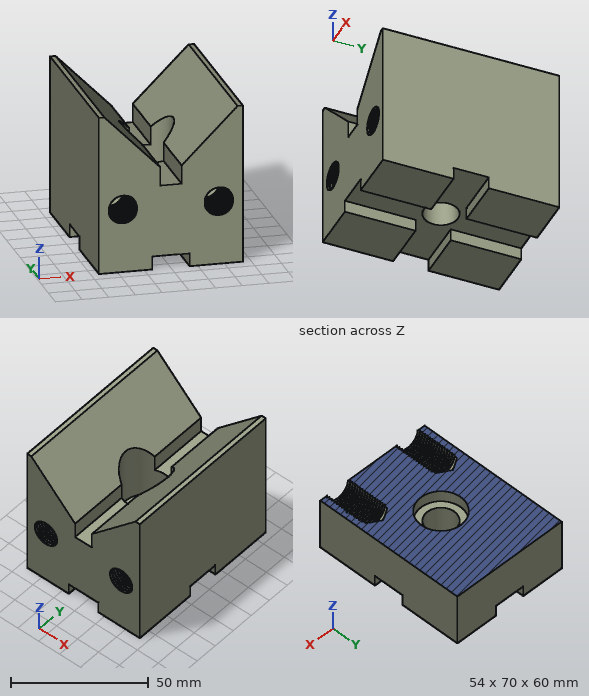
import cadquery as cq
import math

width = 54.0
length = 70.0
height = 60.0

rim_width = 2.0
relief_width = 8.0
relief_floor = 32.0
vee_depth = width / 2 - rim_width - relief_width / 2

keyway_width = 14.0
keyway_depth = 5.0

bore_diameter = 13.5
counterbore_diameter = 20.0
counterbore_depth = 13.0

hole_spacing = 36.0
hole_height = 24.0
minor_diameter = 10.65
major_diameter = 12.0
drill_depth = 20.0
drill_tip_angle = 118.0
thread_pitch = 1.25
groove_mouth = thread_pitch * 3 / 4
groove_root = thread_pitch / 8
thread_start = 0.15
thread_count = math.floor((drill_depth - thread_start) / thread_pitch)


def block():
    """V-grooved profile extruded along Y, centred on the origin in X and Y."""
    half_width = width / 2
    half_relief = relief_width / 2
    vee_root = height - vee_depth
    return (
        cq.Workplane("XZ")
        .moveTo(-half_width, 0)
        .lineTo(half_width, 0)
        .lineTo(half_width, height)
        .lineTo(half_width - rim_width, height)
        .lineTo(half_relief, vee_root)
        .lineTo(half_relief, relief_floor)
        .lineTo(-half_relief, relief_floor)
        .lineTo(-half_relief, vee_root)
        .lineTo(-half_width + rim_width, height)
        .lineTo(-half_width, height)
        .close()
        .extrude(length / 2, both=True)
    )


def keyway(size_x, size_y):
    """Cutter for a keyway rising from the base."""
    return cq.Workplane("XY").rect(size_x, size_y).extrude(keyway_depth)


def counterbored_hole():
    """Cutter for the through bore and the counterbore that opens into the V-groove."""
    bore = cq.Workplane("XY").circle(bore_diameter / 2).extrude(height)
    seat = relief_floor - counterbore_depth
    counterbore = (
        cq.Workplane("XY")
        .workplane(offset=seat)
        .circle(counterbore_diameter / 2)
        .extrude(height - seat)
    )
    return bore.union(counterbore)


def threaded_hole(x):
    """Revolved cutter for a drilled hole with thread grooves, running inward from the front face."""
    minor_radius = minor_diameter / 2
    major_radius = major_diameter / 2
    tip_depth = drill_depth + minor_radius / math.tan(math.radians(drill_tip_angle / 2))
    flank = (groove_mouth - groove_root) / 2

    section = cq.Workplane("XY").lineTo(minor_radius, 0)
    for i in range(thread_count):
        groove_start = thread_start + i * thread_pitch
        section = (
            section.lineTo(minor_radius, groove_start)
            .lineTo(major_radius, groove_start + flank)
            .lineTo(major_radius, groove_start + flank + groove_root)
            .lineTo(minor_radius, groove_start + groove_mouth)
        )
    section = section.lineTo(minor_radius, drill_depth).lineTo(0, tip_depth).close()
    cutter = section.revolve(360, (0, 0, 0), (0, 1, 0))
    return cutter.translate((x, -length / 2, hole_height))


result = block()
result = result.cut(keyway(keyway_width, length))
result = result.cut(keyway(width, keyway_width))
result = result.cut(counterbored_hole())
for side in (-1, 1):
    result = result.cut(threaded_hole(side * hole_spacing / 2))